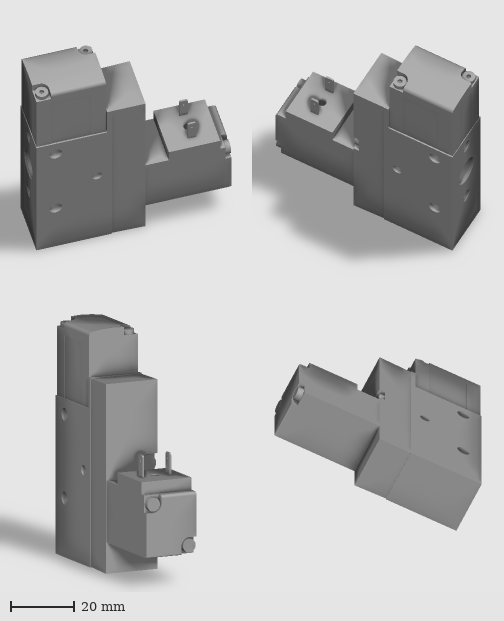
import cadquery as cq


body_width = 18.0
body_depth = 24.8
body_top = 51.0
lip_front = 23.2
lip_top = 61.0
plate_depth = 11.0
plate_back = body_depth + plate_depth
plate_draft = 1.0

cover_width = 17.1
cover_front = 0.15
cover_back = 23.0
cover_top = 76.1
crown_radius = 40.3
cover_edge_radius = 1.2
panel_recess = 0.1
panel_top = 71.15
front_panel_width = 7.2
side_panel_front = 5.2
side_panel_back = 18.3

cover_screw_diameter = 4.2
cover_screw_inset = 2.4
cover_pocket_radius = 2.4
cover_pocket_floor = 73.3
cover_screw_height = 1.5
socket_corners = 1.75
socket_depth = 0.9

port_z = 32.4
port_diameter = 8.6
port_mouth = 9.7
port_depth = 9.1
pilot_spacing = 13.5
pilot_diameter = 3.2
pilot_mouth = 4.2

mounting_hole_diameter = 4.2
mounting_hole_y = 6.4
locating_hole_diameter = 3.3
locating_hole_y = 19.95
locating_hole_z = 30.45

coil_width = 17.6
coil_back = 64.1
coil_bottom = 10.05
coil_top = 30.0
coil_top_radius = 1.0
coil_bottom_radius = 0.45
coil_pocket_depth = 2.0
coil_pocket_radius = 2.75
coil_screw_inset_x = 2.5
coil_screw_inset_z = 2.8
coil_screw_diameter = 4.4
head_front = 43.5
head_back = 60.4
head_top = 33.95

connector_y = 52.2
connector_hole_diameter = 2.4
connector_hole_mouth = 3.2
connector_hole_depth = 6.1
blade_offset = 4.8
blade_thickness = 0.6
blade_width = 2.8
blade_height = 7.0
blade_tip_radius = 0.7
blade_hole_diameter = 0.5
blade_hole_drop = 1.9

plate_screw_z = 34.2
plate_screw_diameter = 5.4
plate_screw_height = 1.8
plate_pocket_width = 6.2
plate_pocket_depth = 2.0
plate_screw_inset = 3.05


def block(x_range, y_range, z_range):
    """Box between the given limits."""
    size = [high - low for low, high in (x_range, y_range, z_range)]
    corner = (x_range[0], y_range[0], z_range[0])
    return cq.Workplane("XY").box(*size, centered=False).translate(corner)


def wide_block(width, y_range, z_range):
    """Box centred on X = 0."""
    return block((-width / 2, width / 2), y_range, z_range)


def rod(start, direction, diameter, length):
    return cq.Workplane(cq.Solid.makeCylinder(diameter / 2, length, cq.Vector(*start), cq.Vector(*direction)))


def countersunk_hole(start, direction, diameter, mouth, depth):
    """Cutter for a blind hole with a 45 degree countersink at its mouth."""
    sink_depth = (mouth - diameter) / 2
    sink = cq.Solid.makeCone(mouth / 2, diameter / 2, sink_depth, cq.Vector(*start), cq.Vector(*direction))
    return rod(start, direction, diameter, depth).union(cq.Workplane(sink))


def corner_pocket(x_inset, y_inset, radius, height):
    """Cutter open past two sides, its inner corner rounded about the screw axis at the origin.

    The open sides face -X and +Y and the floor is at Z = 0.
    """
    return (
        cq.Workplane("XY")
        .moveTo(-2 * x_inset, -radius)
        .lineTo(0, -radius)
        .radiusArc((radius, 0), -radius)
        .lineTo(radius, 2 * y_inset)
        .lineTo(-2 * x_inset, 2 * y_inset)
        .close()
        .extrude(height)
    )


def make_body():
    side = (
        cq.Workplane("YZ")
        .polyline([
            (0, 0),
            (body_depth, 0),
            (body_depth, lip_top),
            (lip_front, lip_top),
            (lip_front, body_top),
            (0, body_top),
        ])
        .close()
    )
    return side.extrude(body_width / 2, both=True)


def make_plate():
    """Plate that is largest at its back face and drafted toward the body."""
    return (
        cq.Workplane("XZ", origin=(0, plate_back, lip_top / 2))
        .rect(body_width, lip_top)
        .extrude(plate_depth, taper=plate_draft)
    )


def make_cover():
    half_width = cover_width / 2
    crown_edge_z = cover_top - crown_radius + (crown_radius**2 - half_width**2) ** 0.5
    cover = (
        cq.Workplane("XZ", origin=(0, cover_back, 0))
        .moveTo(-half_width, body_top)
        .lineTo(-half_width, crown_edge_z)
        .threePointArc((0, cover_top), (half_width, crown_edge_z))
        .lineTo(half_width, body_top)
        .close()
        .extrude(cover_back - cover_front)
        .edges("|Y")
        .edges(">Z")
        .fillet(cover_edge_radius)
    )

    panel_z = (body_top, panel_top)
    cover = cover.cut(wide_block(front_panel_width, (cover_front, cover_front + panel_recess), panel_z))
    panel_y = (side_panel_front, side_panel_back)
    sides = wide_block(cover_width, panel_y, panel_z)
    core = wide_block(cover_width - 2 * panel_recess, panel_y, panel_z)
    cover = cover.cut(sides.cut(core))

    centre_y = (cover_front + cover_back) / 2
    screw_x = -half_width + cover_screw_inset
    screw_y = cover_back - cover_screw_inset
    pocket_depth = cover_top - cover_pocket_floor
    pocket = corner_pocket(cover_screw_inset, cover_screw_inset, cover_pocket_radius, pocket_depth)
    screw = rod((0, 0, 0), (0, 0, 1), cover_screw_diameter, cover_screw_height)
    socket = (
        cq.Workplane("XY", origin=(0, 0, cover_screw_height - socket_depth))
        .transformed(rotate=(0, 0, 90))
        .polygon(6, socket_corners)
        .extrude(socket_depth)
    )
    screw = screw.cut(socket)
    corner = (screw_x, screw_y, cover_pocket_floor)
    pocket = pocket.translate(corner)
    screw = screw.translate(corner)
    axis = ((0, centre_y, 0), (0, centre_y, 1))
    for turn in (0, 180):
        cover = cover.cut(pocket.rotate(*axis, turn)).union(screw.rotate(*axis, turn))
    return cover


def make_coil():
    coil = wide_block(coil_width, (plate_back, coil_back), (coil_bottom, coil_top))
    coil = coil.edges(">Y and >Z").fillet(coil_top_radius)
    coil = coil.edges(">Y and <Z").fillet(coil_bottom_radius)
    coil = coil.union(wide_block(coil_width, (head_front, head_back), (coil_top, head_top)))

    pocket_floor = coil_back - coil_pocket_depth
    centre_z = (coil_bottom + coil_top) / 2
    screw_x = -coil_width / 2 + coil_screw_inset_x
    screw_z = coil_bottom + coil_screw_inset_z
    pocket = corner_pocket(coil_screw_inset_x, coil_screw_inset_z, coil_pocket_radius, coil_pocket_depth)
    pocket = pocket.rotate((0, 0, 0), (1, 0, 0), -90).translate((screw_x, pocket_floor, screw_z))
    screw = rod((screw_x, pocket_floor, screw_z), (0, 1, 0), coil_screw_diameter, coil_pocket_depth)
    axis = ((0, 0, centre_z), (0, 1, centre_z))
    for turn in (0, 180):
        coil = coil.cut(pocket.rotate(*axis, turn)).union(screw.rotate(*axis, turn))
    return coil


def make_blade(x):
    """Flat connector blade with rounded tip corners and a small cross hole."""
    blade = (
        cq.Workplane("XY", origin=(x, connector_y, head_top))
        .box(blade_thickness, blade_width, blade_height, centered=(True, True, False))
        .edges("|X and >Z")
        .fillet(blade_tip_radius)
    )
    hole_start = (x - blade_thickness, connector_y, head_top + blade_height - blade_hole_drop)
    return blade.cut(rod(hole_start, (1, 0, 0), blade_hole_diameter, 2 * blade_thickness))


def add_plate_screw(part):
    """Screw head in a slot that opens at the -X side and the back of the end plate."""
    screw_x = -body_width / 2 + plate_screw_inset
    floor_y = plate_back - plate_pocket_depth
    half_slot = plate_pocket_width / 2
    pocket_y = (floor_y, plate_back)
    slot = block((-body_width, screw_x), pocket_y, (plate_screw_z - half_slot, plate_screw_z + half_slot))
    centre = (screw_x, floor_y, plate_screw_z)
    slot = slot.union(rod(centre, (0, 1, 0), plate_pocket_width, plate_pocket_depth))
    return part.cut(slot).union(rod(centre, (0, 1, 0), plate_screw_diameter, plate_screw_height))


def cut_holes(part):
    part = part.cut(countersunk_hole((0, 0, port_z), (0, 1, 0), port_diameter, port_mouth, port_depth))
    for z in (port_z - pilot_spacing, port_z + pilot_spacing):
        part = part.cut(countersunk_hole((0, 0, z), (0, 1, 0), pilot_diameter, pilot_mouth, mounting_hole_y))
        mount_start = (-body_width / 2, mounting_hole_y, z)
        part = part.cut(rod(mount_start, (1, 0, 0), mounting_hole_diameter, body_width))

    locating_start = (-body_width / 2, locating_hole_y, locating_hole_z)
    part = part.cut(rod(locating_start, (1, 0, 0), locating_hole_diameter, body_width))

    connector_start = (0, connector_y, head_top)
    return part.cut(
        countersunk_hole(
            connector_start, (0, 0, -1), connector_hole_diameter, connector_hole_mouth, connector_hole_depth
        )
    )


part = make_body().union(make_plate()).union(make_cover())
part = add_plate_screw(part)
part = part.union(make_coil())
for blade_x in (-blade_offset, blade_offset):
    part = part.union(make_blade(blade_x))
result = cut_holes(part)